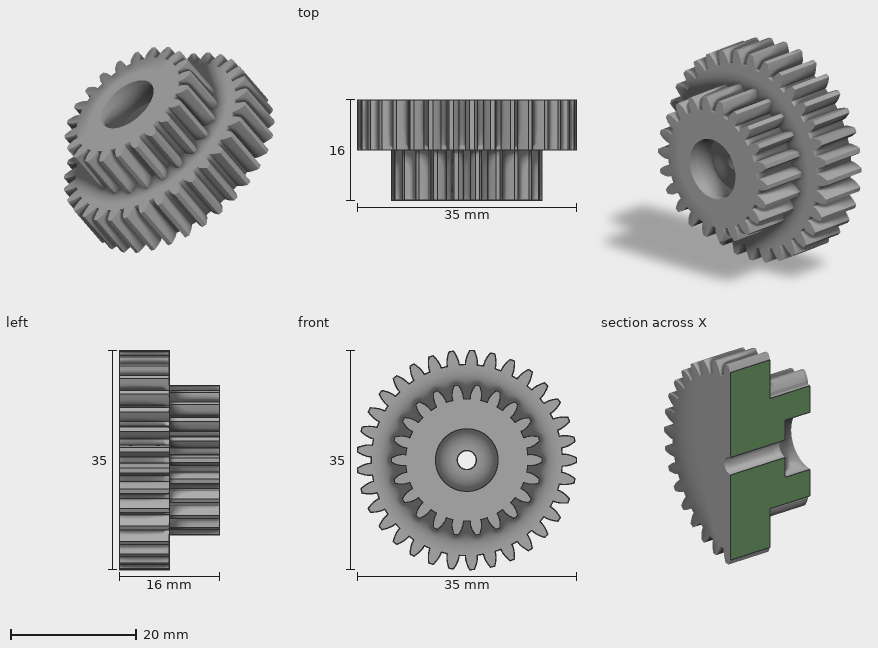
import cadquery as cq
import math

MODULE = 1.0
PRESSURE_ANGLE = math.radians(20)
ADDENDUM = 1.0 * MODULE
DEDENDUM = 1.25 * MODULE
LARGE_TEETH = 33
SMALL_TEETH = 22
FACE_WIDTH = 8.0

SHAFT_HOLE_DIAMETER = 3.0
BORE_DIAMETER = 10.0
BORE_DEPTH = 5.0

FLANK_STEPS = 4


def polar(radius, angle):
    return (radius * math.cos(angle), radius * math.sin(angle))


def involute(angle):
    return math.tan(angle) - angle


def gear(teeth):
    """Spur gear extruded from the XZ plane toward +Y, with one tooth centred on +X."""
    pitch_radius = MODULE * teeth / 2
    base_radius = pitch_radius * math.cos(PRESSURE_ANGLE)
    tip_radius = pitch_radius + ADDENDUM
    root_radius = pitch_radius - DEDENDUM
    tooth_pitch = 2 * math.pi / teeth
    base_half_angle = tooth_pitch / 4 + involute(PRESSURE_ANGLE)

    flank = []
    for step in range(FLANK_STEPS + 1):
        radius = base_radius + (tip_radius - base_radius) * step / FLANK_STEPS
        flank.append((radius, base_half_angle - involute(math.acos(base_radius / radius))))
    tip_half_angle = flank[-1][1]

    outline = cq.Workplane("XZ").moveTo(*polar(root_radius, -base_half_angle))
    for tooth in range(teeth):
        centre = tooth * tooth_pitch
        rising = [polar(radius, centre - half_angle) for radius, half_angle in flank]
        falling = [polar(radius, centre + half_angle) for radius, half_angle in reversed(flank)]
        outline = outline.lineTo(*rising[0])
        outline = outline.spline(rising[1:], includeCurrent=True)
        outline = outline.threePointArc(polar(tip_radius, centre), polar(tip_radius, centre + tip_half_angle))
        outline = outline.spline(falling[1:], includeCurrent=True)
        outline = outline.lineTo(*polar(root_radius, centre + base_half_angle))
        next_gap_end = polar(root_radius, centre + tooth_pitch - base_half_angle)
        outline = outline.threePointArc(polar(root_radius, centre + tooth_pitch / 2), next_gap_end)
    return outline.close().extrude(-FACE_WIDTH)


def axial_cylinder(diameter, start, length):
    """Cylinder on the Y axis running from Y = start toward +Y."""
    return cq.Workplane("XZ", origin=(0, start, 0)).circle(diameter / 2).extrude(-length)


front_face = -FACE_WIDTH
small_gear = gear(SMALL_TEETH).translate((0, front_face, 0))
large_gear = gear(LARGE_TEETH)

shaft_hole = axial_cylinder(SHAFT_HOLE_DIAMETER, front_face, 2 * FACE_WIDTH)
bore = axial_cylinder(BORE_DIAMETER, front_face, BORE_DEPTH)

result = large_gear.union(small_gear).cut(shaft_hole).cut(bore)